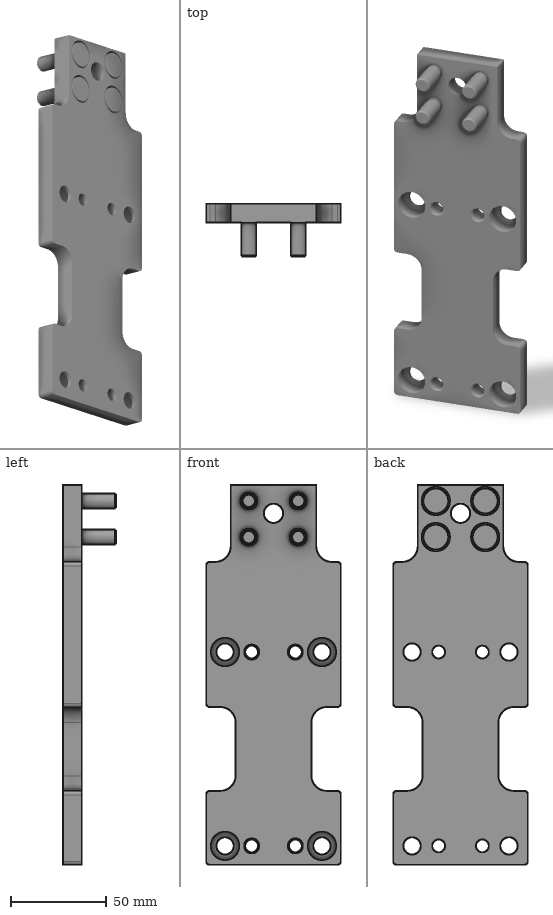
import cadquery as cq

plate_width = 71.0
plate_height = 200.0
plate_thickness = 10.0
neck_width = 45.2
neck_height = 40.5
waist_width = 40.0
waist_bottom = 39.0
waist_height = 44.0
inner_radius = 8.0
corner_radius = 2.0

waist_top = waist_bottom + waist_height
shoulder_z = plate_height - neck_height

row_positions = (10.0, 112.0)
mount_spacing = 51.0
mount_diameter = 9.0
mount_bore_diameter = 15.0
mount_bore_depth = 8.0
thread_spacing = 23.0
thread_diameter = 6.65
thread_mouth_diameter = 8.0
thread_chamfer = (thread_mouth_diameter - thread_diameter) / 2

neck_hole_diameter = 10.0
neck_hole_z = plate_height - 15.0

screw_diameter = 8.0
screw_length = 20.0
screw_tip_diameter = 6.4
screw_tip_length = (screw_diameter - screw_tip_diameter) / 2
screw_head_diameter = 13.0
screw_head_height = 8.0
screw_hole_diameter = 9.0
screw_bore_diameter = 15.0
screw_spacing_x = 26.0
screw_spacing_z = 19.0
screw_top_margin = 8.5

screw_seat_y = plate_thickness - screw_head_height
screw_top_z = plate_height - screw_top_margin
screw_places = [
    (side * screw_spacing_x / 2, z)
    for side in (-1, 1)
    for z in (screw_top_z, screw_top_z - screw_spacing_z)
]


def cylinder(diameter, x, z, y_start, y_end):
    """Round bar along +Y between two Y positions."""
    start = cq.Vector(x, y_start, z)
    bar = cq.Solid.makeCylinder(diameter / 2, y_end - y_start, start, cq.Vector(0, 1, 0))
    return cq.Workplane(obj=bar)


def cone(start_diameter, end_diameter, x, z, y_start, y_end):
    """Tapered round bar along +Y between two Y positions."""
    start = cq.Vector(x, y_start, z)
    taper = cq.Solid.makeCone(
        start_diameter / 2, end_diameter / 2, y_end - y_start, start, cq.Vector(0, 1, 0)
    )
    return cq.Workplane(obj=taper)


def block(width, z_bottom, z_top):
    """Full-thickness slab centred on X."""
    return cq.Workplane().box(
        width, plate_thickness, z_top - z_bottom, centered=(True, False, False)
    ).translate((0, 0, z_bottom))


def edges_at(body, width, heights):
    """Edges through the thickness at both sides of a width, at the given heights."""
    half = width / 2
    reach = 0.1
    selector = None
    for x in (-half, half):
        for z in heights:
            near = cq.selectors.BoxSelector(
                (x - reach, -reach, z - reach),
                (x + reach, plate_thickness + reach, z + reach),
            )
            selector = near if selector is None else selector + near
    return body.edges("|Y").edges(selector)


def make_outline():
    """Stepped plate with a narrow neck on top and a waist between two wide pads."""
    body = block(plate_width, 0, waist_bottom)
    body = body.union(block(waist_width, waist_bottom, waist_top))
    body = body.union(block(plate_width, waist_top, shoulder_z))
    body = body.union(block(neck_width, shoulder_z, plate_height))
    body = edges_at(body, neck_width, [shoulder_z]).fillet(inner_radius)
    body = edges_at(body, waist_width, [waist_bottom, waist_top]).fillet(inner_radius)
    pad_corners = [0, waist_bottom, waist_top, shoulder_z]
    return edges_at(body, plate_width, pad_corners).fillet(corner_radius)


def mount_hole(x, z):
    """Through hole counterbored from the front."""
    through = cylinder(mount_diameter, x, z, 0, plate_thickness)
    return through.union(cylinder(mount_bore_diameter, x, z, 0, mount_bore_depth))


def thread_hole(x, z):
    """Through hole with a chamfered front mouth."""
    through = cylinder(thread_diameter, x, z, 0, plate_thickness)
    mouth = cone(thread_mouth_diameter, thread_diameter, x, z, 0, thread_chamfer)
    return through.union(mouth)


def screw_hole(x, z):
    """Clearance hole with a head recess in the back."""
    through = cylinder(screw_hole_diameter, x, z, 0, plate_thickness)
    return through.union(cylinder(screw_bore_diameter, x, z, screw_seat_y, plate_thickness))


def make_plate():
    body = make_outline()
    for z in row_positions:
        for side in (-1, 1):
            body = body.cut(mount_hole(side * mount_spacing / 2, z))
            body = body.cut(thread_hole(side * thread_spacing / 2, z))
    body = body.cut(cylinder(neck_hole_diameter, 0, neck_hole_z, 0, plate_thickness))
    for x, z in screw_places:
        body = body.cut(screw_hole(x, z))
    return body


def make_screw(x, z):
    """Cap screw pointing to -Y, with a tapered tip and its head seated in the plate."""
    tip_y = screw_seat_y - screw_length
    shank_y = tip_y + screw_tip_length
    tip = cone(screw_tip_diameter, screw_diameter, x, z, tip_y, shank_y)
    shank = cylinder(screw_diameter, x, z, shank_y, screw_seat_y)
    head = cylinder(screw_head_diameter, x, z, screw_seat_y, plate_thickness)
    return tip.union(shank).union(head)


plate = make_plate()
screws = [make_screw(x, z) for x, z in screw_places]

result = cq.Compound.makeCompound([plate.val(), *[screw.val() for screw in screws]])